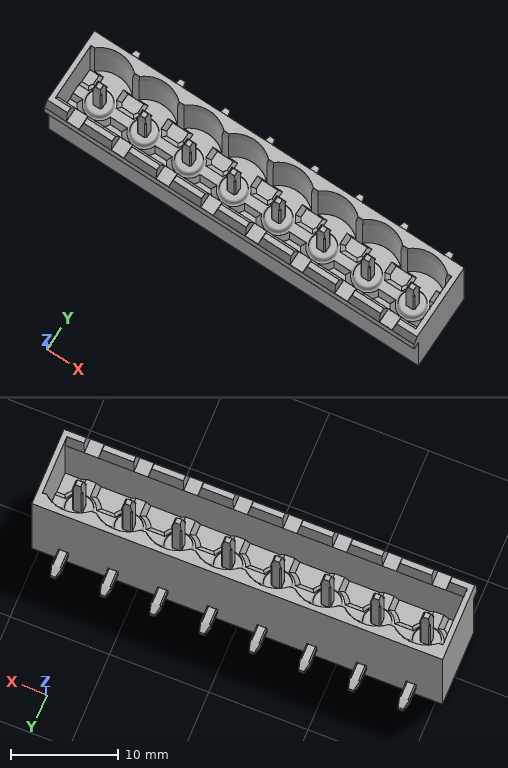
import cadquery as cq
import math

LENGTH = 41.4
HEIGHT = 12.0
DEPTH = 8.5
NOSE_OVERHANG = 0.75
NOSE_HEIGHT = 3.0
NOSE_BEVEL_RUN = 0.5
NOSE_BEVEL_DROP = 1.3

POSITIONS = 8
FIRST_PIN_X = 3.2
PITCH = (LENGTH - 2 * FIRST_PIN_X) / (POSITIONS - 1)
PIN_Y = -3.95
PIN_XS = [FIRST_PIN_X + i * PITCH for i in range(POSITIONS)]

END_WALL = 0.55
BACK_WALL = 1.57
FRONT_INNER_Y = -6.95
MOUTH_DEPTH = 1.25
MOUTH_BACK_RUN = 0.2
MOUTH_FRONT_RUN = 0.45
FLOOR_Z = 3.4
MOUTH_Z = HEIGHT - MOUTH_DEPTH

SCALLOP_RADIUS = 3.2
SCALLOP_MOUTH_RADIUS = 3.4

RIB_HEIGHT = 0.5
RIB_HALF_WIDTH = 0.5
BACK_RIB_HALF_WIDTH = 1.1
RIB_TOP_Z = FLOOR_Z + RIB_HEIGHT
BOSS_RADIUS = 1.35
BOSS_HEIGHT = 0.62
BOSS_ROUND = 0.25
PAD_RADIUS = BOSS_RADIUS + BOSS_ROUND

NOTCH_HALF_WIDTH = 0.7
NOTCH_TOP_HALF_WIDTH = 0.9

PIN_WIDTH = 1.05
PIN_EDGE_CHAMFER = 0.145
TIP_LENGTH = 1.0
TIP_INSET = 0.25
PIN_TOP_Z = 10.8
LEG_Z = 2.0
LEG_REACH = 2.6


def prism_along_x(points, x_start, x_end):
    """Extrude a (Y, Z) outline along X."""
    return cq.Workplane("YZ", origin=(x_start, 0, 0)).polyline(points).close().extrude(x_end - x_start)


def prism_along_y(points, y_start, y_end):
    """Extrude an (X, Z) outline along +Y."""
    return cq.Workplane("XZ", origin=(0, y_start, 0)).polyline(points).close().extrude(y_start - y_end)


def rib_outline(center, half_width):
    """Trapezoid standing on the cavity floor with 45 degree sides."""
    foot = half_width + RIB_HEIGHT
    return [
        (center - foot, FLOOR_Z),
        (center + foot, FLOOR_Z),
        (center + half_width, RIB_TOP_Z),
        (center - half_width, RIB_TOP_Z),
    ]


def housing_block():
    """Solid block with the bevelled nose along its front top edge."""
    wall_y = -DEPTH + NOSE_OVERHANG
    return prism_along_x(
        [
            (0, 0),
            (0, HEIGHT),
            (-DEPTH + NOSE_BEVEL_RUN, HEIGHT),
            (-DEPTH, HEIGHT - NOSE_BEVEL_DROP),
            (-DEPTH, HEIGHT - NOSE_HEIGHT),
            (wall_y, HEIGHT - NOSE_HEIGHT),
            (wall_y, 0),
        ],
        0,
        LENGTH,
    )


def cavity():
    """Trough between the end walls, wider at the mouth."""
    return prism_along_x(
        [
            (-BACK_WALL, FLOOR_Z),
            (-BACK_WALL, MOUTH_Z),
            (-BACK_WALL + MOUTH_BACK_RUN, HEIGHT),
            (FRONT_INNER_Y - MOUTH_FRONT_RUN, HEIGHT),
            (FRONT_INNER_Y, MOUTH_Z),
            (FRONT_INNER_Y, FLOOR_Z),
        ],
        END_WALL,
        LENGTH - END_WALL,
    )


def scallop(x):
    """Round recess in the back wall, down to the rib tops, with a conical mouth."""
    half_section = [
        (0, RIB_TOP_Z),
        (SCALLOP_RADIUS, RIB_TOP_Z),
        (SCALLOP_RADIUS, MOUTH_Z),
        (SCALLOP_MOUTH_RADIUS, HEIGHT),
        (0, HEIGHT),
    ]
    turned = (
        cq.Workplane("XZ", origin=(x, PIN_Y, 0)).polyline(half_section).close().revolve(360, (0, 0), (0, 1))
    )
    back_wall_slab = cq.Workplane("XY").box(LENGTH, BACK_WALL, HEIGHT, centered=False).translate(
        (0, -BACK_WALL, 0)
    )
    return turned.intersect(back_wall_slab)


def notch(x):
    """Flared slot through the top of the front wall."""
    outline = [
        (x - NOTCH_HALF_WIDTH, MOUTH_Z),
        (x + NOTCH_HALF_WIDTH, MOUTH_Z),
        (x + NOTCH_TOP_HALF_WIDTH, HEIGHT),
        (x - NOTCH_TOP_HALF_WIDTH, HEIGHT),
    ]
    return prism_along_y(outline, -DEPTH, FRONT_INNER_Y)


def boss(x):
    """Conical pad at the rib crossing, carrying a round boss with a rounded rim and foot."""
    pad_foot = PAD_RADIUS + RIB_HEIGHT
    boss_top_z = RIB_TOP_Z + BOSS_HEIGHT
    arc_inset = BOSS_ROUND * (1 - math.sqrt(0.5))
    half_section = (
        cq.Workplane("XZ", origin=(x, PIN_Y, 0))
        .moveTo(0, FLOOR_Z)
        .lineTo(pad_foot, FLOOR_Z)
        .lineTo(PAD_RADIUS, RIB_TOP_Z)
        .threePointArc(
            (BOSS_RADIUS + arc_inset, RIB_TOP_Z + arc_inset),
            (BOSS_RADIUS, RIB_TOP_Z + BOSS_ROUND),
        )
        .lineTo(BOSS_RADIUS, boss_top_z - BOSS_ROUND)
        .threePointArc(
            (BOSS_RADIUS - arc_inset, boss_top_z - arc_inset),
            (BOSS_RADIUS - BOSS_ROUND, boss_top_z),
        )
        .lineTo(0, boss_top_z)
        .close()
    )
    return half_section.revolve(360, (0, 0), (0, 1))


def pin_arm(length):
    """Square bar rising from the origin: chamfered long edges and a tapered tip."""
    shaft_length = length - TIP_LENGTH
    shaft = (
        cq.Workplane("XY")
        .rect(PIN_WIDTH, PIN_WIDTH)
        .extrude(shaft_length)
        .edges("|Z")
        .chamfer(PIN_EDGE_CHAMFER)
    )
    end_width = PIN_WIDTH - 2 * TIP_INSET
    tip = (
        cq.Workplane("XY", origin=(0, 0, shaft_length))
        .rect(PIN_WIDTH, PIN_WIDTH)
        .workplane(offset=TIP_LENGTH)
        .rect(end_width, end_width)
        .loft(ruled=True)
    )
    return shaft.union(tip)


def make_pin(x):
    """Right-angled pin: a contact arm going up and a solder leg going out through the back."""
    corner = (x, PIN_Y, LEG_Z)
    elbow = cq.Workplane("XY").box(PIN_WIDTH, PIN_WIDTH, PIN_WIDTH).translate(corner)
    contact = pin_arm(PIN_TOP_Z - LEG_Z).translate(corner)
    leg = pin_arm(LEG_REACH - PIN_Y).rotate((0, 0, 0), (1, 0, 0), -90).translate(corner)
    return elbow.union(contact).union(leg)


def make_housing(pins):
    """Header shell with floor ribs and bosses and a matching hole for every pin."""
    body = housing_block().cut(cavity())
    for x in PIN_XS:
        body = body.cut(scallop(x)).cut(notch(x))

    body = body.union(prism_along_x(rib_outline(PIN_Y, RIB_HALF_WIDTH), END_WALL, LENGTH - END_WALL))
    for x in PIN_XS:
        front_rib = prism_along_y(rib_outline(x, RIB_HALF_WIDTH), FRONT_INNER_Y, PIN_Y)
        back_rib = prism_along_y(rib_outline(x, BACK_RIB_HALF_WIDTH), PIN_Y, -BACK_WALL)
        body = body.union(front_rib).union(back_rib).union(boss(x))

    for pin in pins:
        body = body.cut(pin)
    return body


pins = [make_pin(x) for x in PIN_XS]
housing = make_housing(pins)
result = cq.Compound.makeCompound([housing.val(), *[pin.val() for pin in pins]])